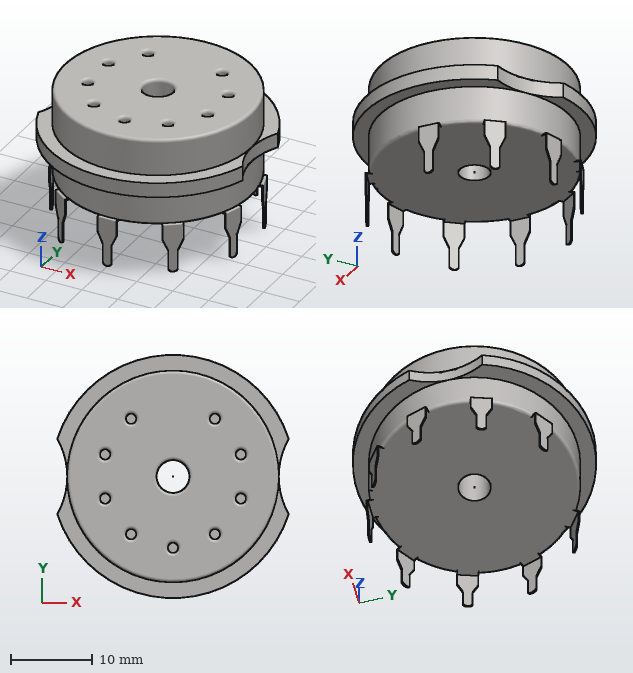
import cadquery as cq
import math

HOUSING_DIA = 26.0
HOUSING_HEIGHT = 12.0
EDGE_ROUND = 0.42
HOUSING_RADIUS = HOUSING_DIA / 2

FLANGE_DIA = 29.9
FLANGE_BOTTOM = 5.0
FLANGE_THICKNESS = 2.0
NOTCH_RADIUS = 9.42
NOTCH_OFFSET = HOUSING_RADIUS + NOTCH_RADIUS

CENTER_HOLE_DIA = 4.0
SOCKET_DIA = 1.25
SOCKET_DEPTH = 5.98
SOCKET_CIRCLE_RADIUS = 8.75
HOLE_ROUND = 0.45

POSITION_COUNT = 10
POSITION_PITCH = 360.0 / POSITION_COUNT
POSITION_ANGLES = [90.0 + i * POSITION_PITCH for i in range(1, POSITION_COUNT)]

STRIP_THICKNESS = 0.18
BEND_ROUND = 0.12
TAB_INNER_RADIUS = 11.05
BLADE_OUTER_RADIUS = 13.37
BLADE_WIDTH = 2.63
TAIL_WIDTH = 1.2
SHOULDER_DROP = 1.97
TAPER_END_DROP = 3.53
TIP_DROP = 6.52
TIP_ARC_HEIGHT = 0.35

PIN_DIA = 0.1
PIN_LENGTH = PIN_DIA


def make_block():
    block = cq.Workplane("XY").circle(HOUSING_RADIUS).extrude(HOUSING_HEIGHT)
    return block.faces("<Z or >Z").edges().fillet(EDGE_ROUND)


def make_flange():
    flange = (
        cq.Workplane("XY", origin=(0, 0, FLANGE_BOTTOM))
        .circle(FLANGE_DIA / 2)
        .extrude(FLANGE_THICKNESS)
    )
    notches = (
        cq.Workplane("XY", origin=(0, 0, FLANGE_BOTTOM))
        .pushPoints([(-NOTCH_OFFSET, 0), (NOTCH_OFFSET, 0)])
        .circle(NOTCH_RADIUS)
        .extrude(FLANGE_THICKNESS)
    )
    return flange.cut(notches)


def make_hole_cutter(diameter, depth):
    """Hole on the Z axis, sunk from the top face, with a rounded mouth."""
    radius = diameter / 2
    bottom = HOUSING_HEIGHT - depth
    mouth_radius = radius + HOLE_ROUND
    arc_reach = HOLE_ROUND * math.sin(math.radians(45))
    arc_middle = (mouth_radius - arc_reach, HOUSING_HEIGHT - HOLE_ROUND + arc_reach)
    return (
        cq.Workplane("XZ")
        .moveTo(0, bottom)
        .lineTo(radius, bottom)
        .lineTo(radius, HOUSING_HEIGHT - HOLE_ROUND)
        .threePointArc(arc_middle, (mouth_radius, HOUSING_HEIGHT))
        .lineTo(0, HOUSING_HEIGHT)
        .close()
        .revolve(360, (0, 0, 0), (0, 1, 0))
    )


def make_contact():
    """Contact tail on the +X side, before it is turned to its position."""
    tab_length = BLADE_OUTER_RADIUS - TAB_INNER_RADIUS
    tab = (
        cq.Workplane("XY", origin=(TAB_INNER_RADIUS, 0, 0))
        .box(tab_length, BLADE_WIDTH, STRIP_THICKNESS, centered=(False, True, False))
    )
    blade = (
        cq.Workplane("YZ", origin=(BLADE_OUTER_RADIUS - STRIP_THICKNESS, 0, 0))
        .moveTo(-BLADE_WIDTH / 2, STRIP_THICKNESS)
        .lineTo(-BLADE_WIDTH / 2, -SHOULDER_DROP)
        .lineTo(-TAIL_WIDTH / 2, -TAPER_END_DROP)
        .lineTo(-TAIL_WIDTH / 2, -TIP_DROP + TIP_ARC_HEIGHT)
        .threePointArc((0, -TIP_DROP), (TAIL_WIDTH / 2, -TIP_DROP + TIP_ARC_HEIGHT))
        .lineTo(TAIL_WIDTH / 2, -TAPER_END_DROP)
        .lineTo(BLADE_WIDTH / 2, -SHOULDER_DROP)
        .lineTo(BLADE_WIDTH / 2, STRIP_THICKNESS)
        .close()
        .extrude(STRIP_THICKNESS)
    )
    return tab.union(blade).edges("|Y and >X and >Z").fillet(BEND_ROUND)


def make_housing():
    housing = make_block().union(make_flange())
    housing = housing.cut(make_hole_cutter(CENTER_HOLE_DIA, HOUSING_HEIGHT))
    socket = make_hole_cutter(SOCKET_DIA, SOCKET_DEPTH).translate((SOCKET_CIRCLE_RADIUS, 0, 0))
    contact = make_contact()
    for angle in POSITION_ANGLES:
        housing = housing.cut(socket.rotate((0, 0, 0), (0, 0, 1), angle))
        housing = housing.union(contact.rotate((0, 0, 0), (0, 0, 1), angle))
    return housing.solids()


def make_pin():
    return cq.Workplane("XY").circle(PIN_DIA / 2).extrude(PIN_LENGTH)


housing = make_housing()
pin = make_pin()

result = cq.Compound.makeCompound([housing.val(), pin.val()])